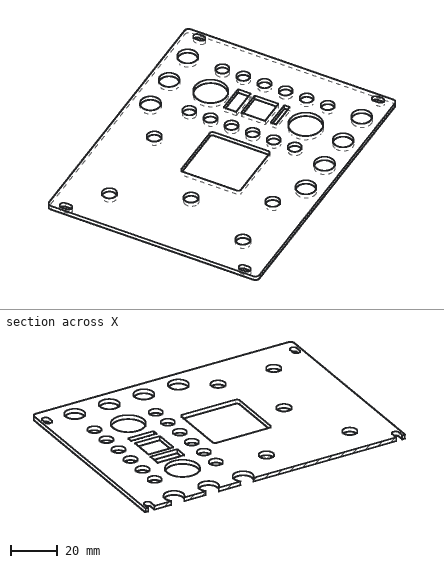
import cadquery as cq

width = 101.3
height = 128.5
thickness = 2.0
corner_radius = 1.9

slot_length = 5.5
slot_width = 3.2
slot_x = 43.0
slot_y = 61.3

jack_diameter = 9.0
jack_left_x = -41.8
jack_right_x = 42.0
jack_top_y = 48.2
jack_pitch = 17.1
jack_left_count = 3
jack_right_count = 4

small_diameter = 6.0
small_first_x = -24.9
small_pitch = 10.2
small_count = 6
small_row_ys = (47.9, 17.6)

large_diameter = 15.0
large_y = 32.8
large_xs = (-22.6, 23.1)

display_windows = (
    (-9.9, 32.8, 6.0, 13.2),
    (1.0, 32.9, 11.5, 12.3),
    (10.7, 33.2, 2.6, 12.6),
)

main_window_size = 28.7
main_window_x = 3.9
main_window_y = -4.2
main_window_radius = 1.3

control_diameter = 6.5
control_centre_x = 1.7
control_centre_y = -31.6
control_offset_x = 32.1
control_step_y = 13.7
control_offsets = (
    (0, 0),
    (-1, 2),
    (1, 1),
    (-1, -1),
    (1, -1),
)


def drill(panel, points, diameter):
    """Cut round through holes at the given points."""
    return panel.faces(">Z").workplane(origin=(0, 0, thickness)).pushPoints(points).hole(diameter)


def window(x, y, size_x, size_y):
    """Rectangular through cutter centred on x, y."""
    return cq.Workplane("XY").center(x, y).rect(size_x, size_y).extrude(thickness)


result = cq.Workplane("XY").rect(width, height).extrude(thickness).edges("|Z").fillet(corner_radius)

slots = (
    cq.Workplane("XY")
    .rect(2 * slot_x, 2 * slot_y, forConstruction=True)
    .vertices()
    .slot2D(slot_length, slot_width)
    .extrude(thickness)
)
result = result.cut(slots)

left_jacks = [(jack_left_x, jack_top_y - i * jack_pitch) for i in range(jack_left_count)]
right_jacks = [(jack_right_x, jack_top_y - i * jack_pitch) for i in range(jack_right_count)]
result = drill(result, left_jacks + right_jacks, jack_diameter)

small_holes = [(small_first_x + i * small_pitch, y) for y in small_row_ys for i in range(small_count)]
result = drill(result, small_holes, small_diameter)

result = drill(result, [(x, large_y) for x in large_xs], large_diameter)

controls = [
    (control_centre_x + i * control_offset_x, control_centre_y + j * control_step_y)
    for i, j in control_offsets
]
result = drill(result, controls, control_diameter)

for x, y, size_x, size_y in display_windows:
    result = result.cut(window(x, y, size_x, size_y))

main_window = window(main_window_x, main_window_y, main_window_size, main_window_size)
result = result.cut(main_window.edges("|Z").fillet(main_window_radius))